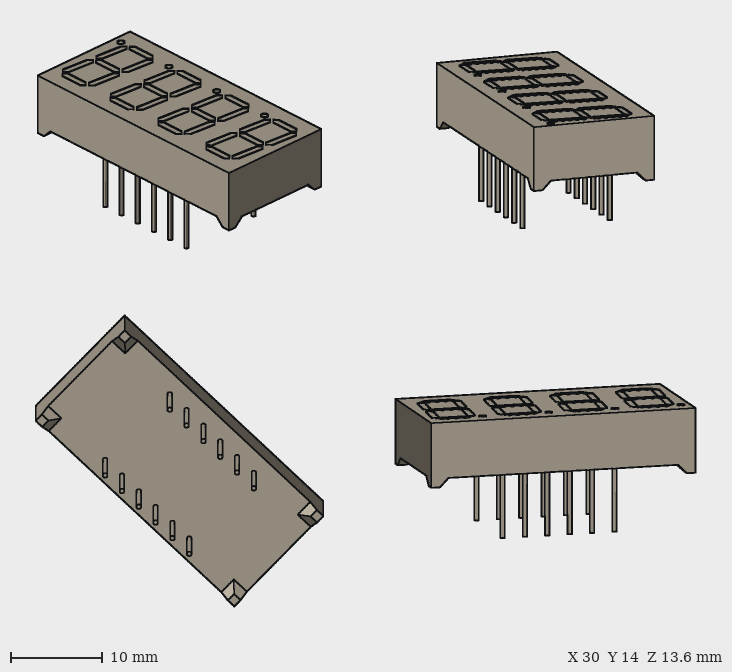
import cadquery as cq
import math


length = 30.0
width = 14.0
total_height = 13.6
body_height = 6.2
foot_height = 1.0
foot_end = 1.0
foot_slope = foot_height

pin_diameter = 0.5
pins_per_row = 6
pin_row_length = 12.7
pin_row_spacing = 10.17

digit_count = 4
digit_pitch = length / digit_count
slant = math.tan(math.radians(5))
bar_pitch = 4.68
column_pitch = 4.08
segment_width = 0.85
tip_gap = 0.2
dot_diameter = 0.8
dot_offset = 2.75
mark_depth = 0.1

body_bottom = total_height - body_height
foot_bottom = body_bottom - foot_height
pin_length = body_bottom


def channel_profile(plane, span):
    """Outline of the underside channel that leaves a foot at both ends of the span."""
    mouth = span / 2 - foot_end
    roof = mouth - foot_slope
    return cq.Workplane(plane).polyline(
        [(-mouth, foot_bottom), (-roof, body_bottom), (roof, body_bottom), (mouth, foot_bottom)]
    ).close()


def make_housing():
    """Block whose underside is crossed by two channels, leaving four corner feet."""
    block = (
        cq.Workplane("XY")
        .workplane(offset=foot_bottom)
        .rect(length, width)
        .extrude(body_height + foot_height)
    )
    channel_along_y = channel_profile("XZ", length).extrude(width / 2, both=True)
    channel_along_x = channel_profile("YZ", width).extrude(length / 2, both=True)
    return block.cut(channel_along_y).cut(channel_along_x)


def make_pins():
    """Two rows of round pins reaching down from the body."""
    return (
        cq.Workplane("XY")
        .rarray(pin_row_length / (pins_per_row - 1), pin_row_spacing, pins_per_row, 2)
        .circle(pin_diameter / 2)
        .extrude(pin_length)
    )


def horizontal_segment(x, y):
    """Corners of a bar centred on (x, y) with 45 degree pointed ends."""
    half_width = segment_width / 2
    tip = column_pitch / 2 - tip_gap
    shoulder = tip - half_width
    return [
        (x - tip, y),
        (x - shoulder, y + half_width),
        (x + shoulder, y + half_width),
        (x + tip, y),
        (x + shoulder, y - half_width),
        (x - shoulder, y - half_width),
    ]


def slanted_segment(x, y):
    """Corners of a leaning bar centred on (x, y): slanted sides, 45 degree pointed ends."""
    tip = bar_pitch / 2 - tip_gap
    lean = slant * tip
    long_leg = segment_width / 2 / (1 - slant)
    short_leg = segment_width / 2 / (1 + slant)
    return [
        (x + lean, y + tip),
        (x + lean + short_leg, y + tip - short_leg),
        (x - lean + long_leg, y - tip + long_leg),
        (x - lean, y - tip),
        (x - lean - short_leg, y - tip + short_leg),
        (x + lean - long_leg, y + tip - long_leg),
    ]


def digit_outlines(digit_x):
    """Corner lists of the seven segments of the digit centred on digit_x."""
    outlines = []
    for y in (-bar_pitch, 0, bar_pitch):
        outlines.append(horizontal_segment(digit_x + slant * y, y))
    for y in (-bar_pitch / 2, bar_pitch / 2):
        for side in (-1, 1):
            outlines.append(slanted_segment(digit_x + slant * y + side * column_pitch / 2, y))
    return outlines


def make_face_marks():
    """Shallow recesses in the top face: the segments and one dot for every digit."""
    marks = cq.Workplane("XY").workplane(offset=total_height)
    for index in range(digit_count):
        digit_x = (index - (digit_count - 1) / 2) * digit_pitch
        for outline in digit_outlines(digit_x):
            marks = marks.polyline(outline).close()
        marks = marks.moveTo(digit_x - dot_offset, bar_pitch).circle(dot_diameter / 2)
    return marks.extrude(-mark_depth)


result = make_housing().union(make_pins()).cut(make_face_marks())